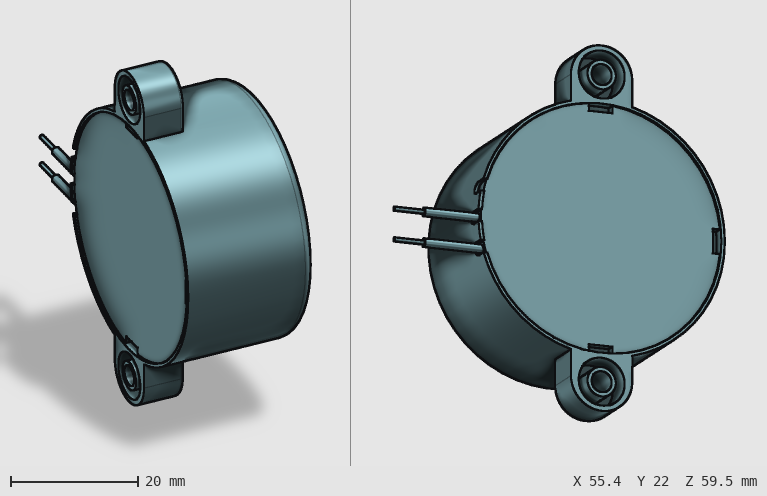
import cadquery as cq


body_radius = 20.9
body_depth = 22.0
back_fillet = 1.5

plate_radius = 20.3
plate_recess = 0.4

pocket_width = 4.0
pocket_inner = 19.0
pocket_depth = 2.0
pocket_angles = (0, 90, 270)

overall_height = 59.5
ear_radius = 5.2
ear_centre = overall_height / 2 - ear_radius
ear_depth = 7.0
ear_fillet = 0.5

hole_centre = 25.0
hole_diameter = 3.4
ring_diameter = 4.8
recess_diameter = 7.8
recess_depth = 5.0

slot_width = 2.0
slot_depth = 3.0
slot_pitch = 5.0
slot_heights = (slot_pitch, 0.0, -slot_pitch)

wire_heights = (0.0, -slot_pitch)
wire_y = 1.7
insulation_diameter = 1.4
conductor_diameter = 0.7
wire_tip_x = -34.45
bare_length = 5.0
insulation_tip_x = wire_tip_x + bare_length
wire_root_x = -19.0


def front_plane(y):
    """Sketch plane at depth y; local axes are X and Z, negative extrusions run toward +Y."""
    return cq.Workplane(cq.Plane(origin=(0, y, 0), xDir=(1, 0, 0), normal=(0, -1, 0)))


def disc(diameter, y_start, y_end, z=0.0):
    """Cylinder along Y between two depths."""
    return front_plane(y_start).center(0, z).circle(diameter / 2).extrude(y_start - y_end)


def make_housing():
    return disc(2 * body_radius, 0, body_depth).faces(">Y").edges().fillet(back_fillet)


def make_ear(side):
    """Round-ended ear on the +Z (side = 1) or -Z (side = -1) flank."""
    ear = (
        front_plane(0)
        .moveTo(-ear_radius, 0)
        .lineTo(-ear_radius, side * ear_centre)
        .threePointArc((0, side * (ear_centre + ear_radius)), (ear_radius, side * ear_centre))
        .lineTo(ear_radius, 0)
        .close()
        .extrude(-ear_depth)
    )
    return ear.faces(">Y").edges().fillet(ear_fillet)


def make_ear_cutter(side):
    """Through hole plus the recess that leaves a ring standing around it."""
    z = side * hole_centre
    recess = disc(recess_diameter, 0, recess_depth, z)
    ring = disc(ring_diameter, 0, recess_depth, z)
    hole = disc(hole_diameter, 0, ear_depth, z)
    return recess.cut(ring).union(hole)


def make_rim_pocket(angle):
    """Block that reaches from the inner pocket wall past the plate edge."""
    block = cq.Workplane("XY", origin=(pocket_inner, 0, 0)).box(
        body_radius - pocket_inner, pocket_depth, pocket_width, centered=(False, False, True)
    )
    return block.rotate((0, 0, 0), (0, 1, 0), angle)


def make_plate_cutter():
    """Plate recess deepened at the rim pockets, all bounded by the plate radius."""
    plate = disc(2 * body_radius, plate_recess, pocket_depth)
    for angle in pocket_angles:
        plate = plate.cut(make_rim_pocket(angle))
    return disc(2 * plate_radius, 0, pocket_depth).cut(plate)


def make_wire_slot(z):
    """Round-ended slot open to the front, through the wall down to the plate radius."""
    half_width = slot_width / 2
    round_centre = slot_depth - half_width
    profile = (
        cq.Workplane("YZ", origin=(-body_radius, 0, z))
        .moveTo(0, -half_width)
        .lineTo(round_centre, -half_width)
        .threePointArc((slot_depth, 0), (round_centre, half_width))
        .lineTo(0, half_width)
        .close()
        .extrude(body_radius)
    )
    return profile.cut(disc(2 * plate_radius, 0, slot_depth))


def make_wire(z):
    """Insulated lead with a bare conductor end."""

    def rod(diameter, x_start):
        plane = cq.Workplane("YZ", origin=(x_start, wire_y, z))
        return plane.circle(diameter / 2).extrude(wire_root_x - x_start)

    return rod(insulation_diameter, insulation_tip_x).union(rod(conductor_diameter, wire_tip_x))


result = make_housing()
for side in (1, -1):
    result = result.union(make_ear(side))
for side in (1, -1):
    result = result.cut(make_ear_cutter(side))
result = result.cut(make_plate_cutter())
for z in slot_heights:
    result = result.cut(make_wire_slot(z))
for z in wire_heights:
    result = result.union(make_wire(z))